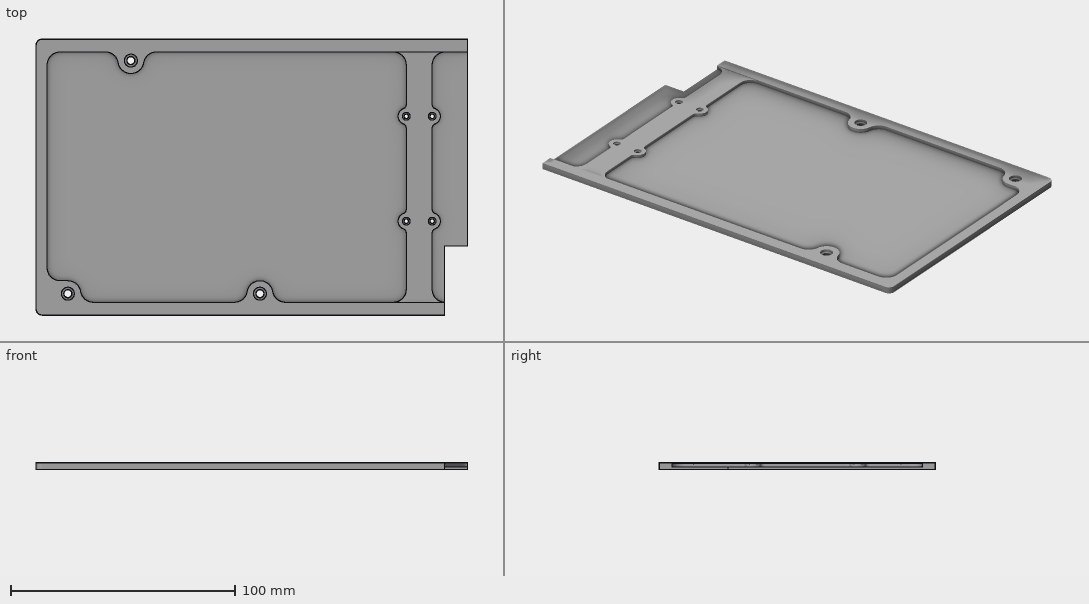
import cadquery as cq
import math

length, width, thickness = 192.5, 123.2, 3.0
corner_radius = 2.9
notch_length, notch_width = 10.2, 30.8

floor_z = 1.2
strip_z = 2.7
side_rim = 5.8
end_rim = 5.0
recess_radius = 5.8
inner_y_min = side_rim
inner_y_max = width - side_rim

screw_diameter, screw_head_diameter = 3.5, 5.8
screw_head_depth = 1.2
boss_radius = 5.8
screw_inset = 9.6
corner_screw = (14.2, screw_inset)
front_screw = (100.0, screw_inset)
rear_screw = (42.4, width - screw_inset)

strip_x_min, strip_x_max = 165.2, 176.7
pin_diameter, pin_head_diameter = 2.0, 3.5
pin_head_depth = 0.8
lug_radius = 3.7
lug_blend_radius = 2.0
pin_rows = (42.0, 88.8)


def block(x_min, x_max, y_min, y_max, z_min):
    """Box from z_min up to the top face of the plate."""
    box = cq.Workplane("XY").box(x_max - x_min, y_max - y_min, thickness - z_min, centered=False)
    return box.translate((x_min, y_min, z_min))


def post(center, radius):
    """Round post from the recess floor to the top face."""
    return cq.Workplane("XY", origin=(0, 0, floor_z)).center(*center).circle(radius).extrude(thickness - floor_z)


def round_corners(body, corners, radius):
    """Fillet the vertical edge standing at each (x, y) corner."""
    mid_z = (floor_z + thickness) / 2
    for x, y in corners:
        body = body.edges(cq.selectors.NearestToPointSelector((x, y, mid_z))).fillet(radius)
    return body


def lug_corners(x):
    """Points where the strip lugs meet the straight strip side at x."""
    return [(x, row + side * lug_radius) for row in pin_rows for side in (-1, 1)]


def main_pocket():
    pocket = block(end_rim, strip_x_min, inner_y_min, inner_y_max, floor_z)
    for center in (corner_screw, front_screw, rear_screw):
        pocket = pocket.cut(post(center, boss_radius))
    corner_top = corner_screw[1] + boss_radius
    pocket = pocket.cut(block(end_rim, corner_screw[0], inner_y_min, corner_top, floor_z))
    for row in pin_rows:
        pocket = pocket.cut(post((strip_x_min, row), lug_radius))

    half_chord = math.sqrt(boss_radius**2 - (screw_inset - side_rim) ** 2)
    wide_corners = [
        (end_rim, inner_y_max),
        (end_rim, corner_top),
        (strip_x_min, inner_y_min),
        (strip_x_min, inner_y_max),
        (corner_screw[0] + half_chord, inner_y_min),
        (front_screw[0] - half_chord, inner_y_min),
        (front_screw[0] + half_chord, inner_y_min),
        (rear_screw[0] - half_chord, inner_y_max),
        (rear_screw[0] + half_chord, inner_y_max),
    ]
    pocket = round_corners(pocket, wide_corners, recess_radius)
    return round_corners(pocket, lug_corners(strip_x_min), lug_blend_radius)


def tab_recess():
    recess = block(strip_x_max, length, inner_y_min, inner_y_max, floor_z)
    for row in pin_rows:
        recess = recess.cut(post((strip_x_max, row), lug_radius))
    end_corners = [(strip_x_max, inner_y_min), (strip_x_max, inner_y_max)]
    recess = round_corners(recess, end_corners, recess_radius)
    return round_corners(recess, lug_corners(strip_x_max), lug_blend_radius)


def strip_recess():
    """Shallow step that sets the strip and its lugs just below the rim."""
    overlap = lug_radius + recess_radius
    return block(strip_x_min - overlap, strip_x_max + overlap, inner_y_min, inner_y_max, strip_z)


plate = block(0, length, 0, width, 0).edges("|Z and <X").fillet(corner_radius)
plate = plate.cut(block(length - notch_length, length, 0, notch_width, 0))
plate = plate.cut(main_pocket()).cut(tab_recess()).cut(strip_recess())

plate = (
    plate.copyWorkplane(cq.Workplane("XY", origin=(0, 0, thickness)))
    .pushPoints([corner_screw, front_screw, rear_screw])
    .cboreHole(screw_diameter, screw_head_diameter, screw_head_depth)
)
pin_points = [(x, row) for x in (strip_x_min, strip_x_max) for row in pin_rows]
result = (
    plate.copyWorkplane(cq.Workplane("XY", origin=(0, 0, strip_z)))
    .pushPoints(pin_points)
    .cboreHole(pin_diameter, pin_head_diameter, pin_head_depth)
)